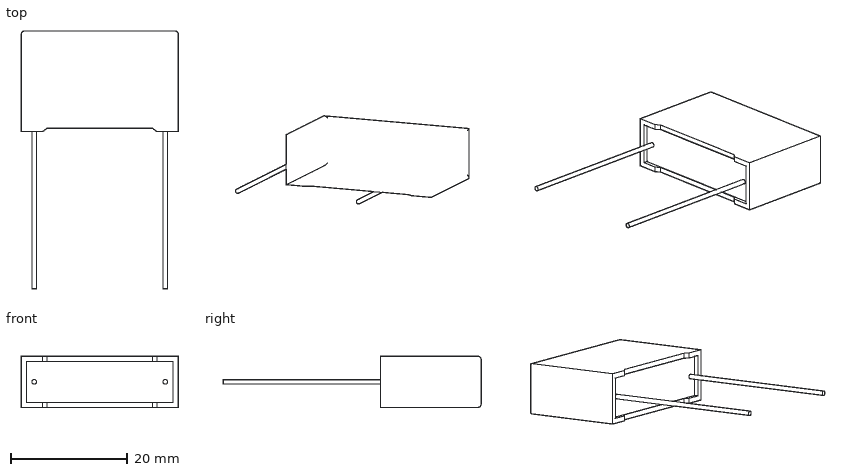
import cadquery as cq

TOTAL_LENGTH = 44.3
CASE_WIDTH = 27.0
CASE_HEIGHT = 8.8
CASE_DEPTH = 17.3
LEAD_LENGTH = TOTAL_LENGTH - CASE_DEPTH

WALL = 0.9
BACK_EDGE_RADIUS = 0.58
NOTCH_DEPTH = 0.58
NOTCH_RAMP = 0.75
NOTCH_MARGIN = 3.68
CAVITY_WIDTH = CASE_WIDTH - 2 * WALL
CAVITY_HEIGHT = CASE_HEIGHT - 2 * WALL

POTTING_RECESS = 0.7
POTTING_DEPTH = CASE_DEPTH - WALL - POTTING_RECESS
LEAD_DIAMETER = 0.8
LEAD_PITCH = 22.5



def block(width, depth, height, front_y):
    """Box centred in X and Z, with its front face at front_y."""
    return cq.Workplane("XY").box(width, depth, height).translate((0, front_y + depth / 2, 0))


def make_notch():
    """Trapezoidal relief through both long rims, widest at the open side."""
    rim_half = CASE_WIDTH / 2 - NOTCH_MARGIN
    floor_half = rim_half - NOTCH_RAMP
    outline = [
        (-rim_half, 0),
        (rim_half, 0),
        (floor_half, NOTCH_DEPTH),
        (-floor_half, NOTCH_DEPTH),
    ]
    return cq.Workplane("XY").polyline(outline).close().extrude(CASE_HEIGHT / 2, both=True)


def make_case():
    """Open box with rounded back edges and a notched rim."""
    shell = block(CASE_WIDTH, CASE_DEPTH, CASE_HEIGHT, 0)
    shell = shell.faces(">Y").edges().fillet(BACK_EDGE_RADIUS)
    cavity = block(CAVITY_WIDTH, CASE_DEPTH - WALL, CAVITY_HEIGHT, 0)
    return shell.cut(cavity).cut(make_notch())


def make_potting():
    """Resin block that fills the cavity up to the recessed face."""
    return block(CAVITY_WIDTH, POTTING_DEPTH, CAVITY_HEIGHT, POTTING_RECESS)


def make_lead(x):
    """Straight round wire standing on the potting face."""
    start = cq.Workplane("XZ", origin=(x, POTTING_RECESS, 0))
    return start.circle(LEAD_DIAMETER / 2).extrude(POTTING_RECESS + LEAD_LENGTH)


case = make_case()
potting = make_potting()
leads = [make_lead(side * LEAD_PITCH / 2) for side in (-1, 1)]

result = cq.Compound.makeCompound([case.val(), potting.val(), *[lead.val() for lead in leads]])